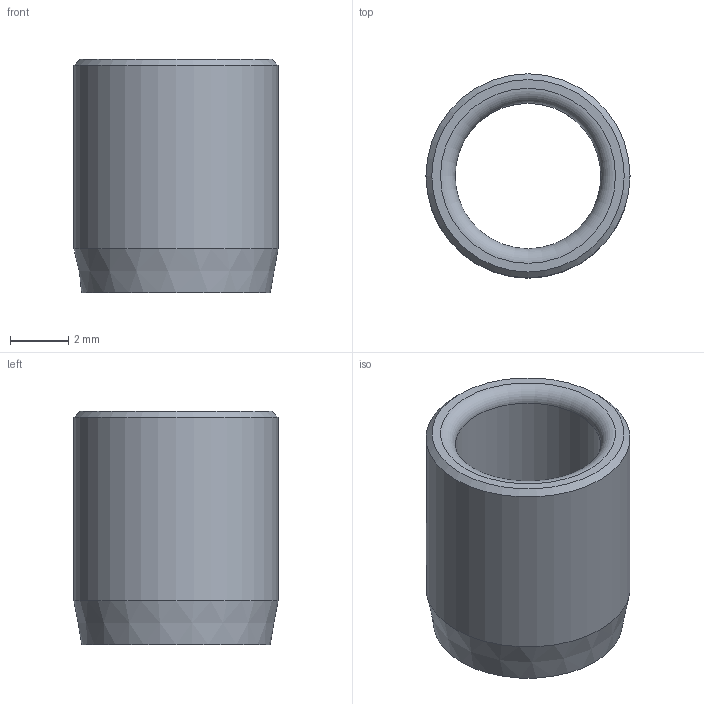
import cadquery as cq
import math

outer_radius = 3.5
bore_radius = 2.5
height = 8.0

top_chamfer = 0.2
bore_entry_radius = 0.5

lead_in_height = 1.5
lead_in_angle = 10.0
bottom_radius = outer_radius - lead_in_height * math.tan(math.radians(lead_in_angle))


def sleeve():
    """Revolve the wall section about the Z axis."""
    arc_offset = bore_entry_radius * (1 - math.cos(math.radians(45)))
    entry_mid = (bore_radius + arc_offset, height - arc_offset)
    section = (
        cq.Workplane("XZ")
        .moveTo(bore_radius, 0)
        .lineTo(bottom_radius, 0)
        .lineTo(outer_radius, lead_in_height)
        .lineTo(outer_radius, height - top_chamfer)
        .lineTo(outer_radius - top_chamfer, height)
        .lineTo(bore_radius + bore_entry_radius, height)
        .threePointArc(entry_mid, (bore_radius, height - bore_entry_radius))
        .close()
    )
    return section.revolve(360, (0, 0, 0), (0, 1, 0))


result = sleeve()